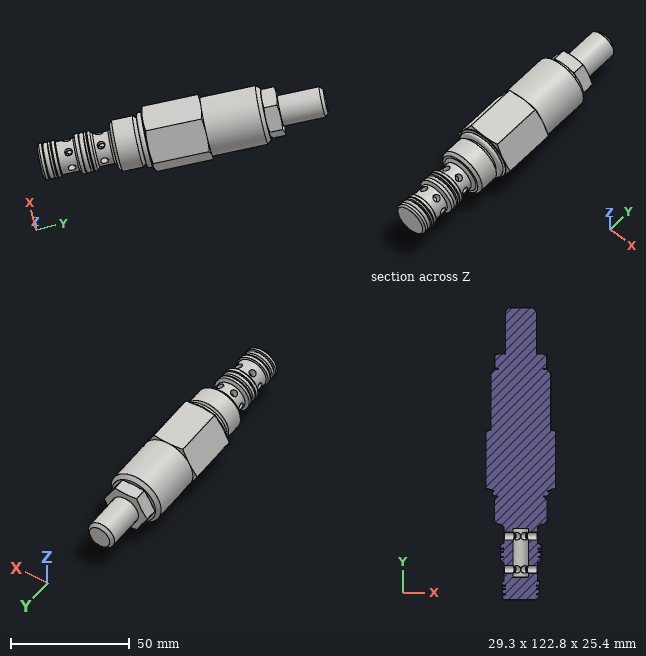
import cadquery as cq
import math

length = 122.8

nose_dia = 15.8
nose_chamfer = 0.9
nose_top = 8.0
nose_top_bevel = 0.4
nose_groove_start = 2.1
nose_oring_gap = 0.4
nose_groove_dia = 13.3
land_dia = 17.4
land_start = 15.5
land_end = 24.0
land_bevel = 0.9
land_groove_start = 17.9
land_groove_dia = 14.9
land_oring_gap = 0.1

oring_width = 2.0
backup_offset = 2.2
backup_width = 1.0
backup_clearance = 0.5

neck_dia = 14.2
port_dia = 3.2
port_count = 6
port_rows = (12.8, 26.8)
bore_dia = 6.4

collar_dia = 22.2
collar_step_dia = 19.6
collar_cone_start = 30.6
collar_step = 31.7
collar_start = 33.0
collar_end = 42.0
face_seal_start = 43.6
face_seal_dia = 24.0
collar_root_dia = collar_dia - 2 * (face_seal_start - collar_end)

hex_flats = 25.4
hex_start = 45.9
hex_end = 71.5
washer_height = 0.4
housing_end = 97.0
housing_chamfer = 1.7
nut_flats = 19.0
nut_end = 103.4
hex_corner_angle = 15.0
screw_dia = 13.3
screw_chamfer = 1.5


def add_ring(outline, start, end, outer_dia, floor_dia):
    """Continue the outline over a ring with straight sides and a half-round crown."""
    crown_radius = (end - start) / 2
    shoulder = outer_dia / 2 - crown_radius
    outline = outline.lineTo(floor_dia / 2, start)
    outline = outline.lineTo(shoulder, start)
    outline = outline.threePointArc((outer_dia / 2, start + crown_radius), (shoulder, end))
    return outline


def add_seal_pack(outline, start, oring_gap, outer_dia, floor_dia):
    """Continue the outline through a groove holding an O-ring and a backup ring."""
    outer = outer_dia / 2
    floor = floor_dia / 2
    oring_start = start + oring_gap
    oring_end = oring_start + oring_width
    backup_start = oring_start + backup_offset
    backup_end = backup_start + backup_width
    groove_end = backup_end + backup_clearance
    outline = outline.lineTo(outer, start).lineTo(floor, start)
    outline = add_ring(outline, oring_start, oring_end, outer_dia, floor_dia)
    outline = outline.lineTo(floor, oring_end)
    outline = outline.lineTo(floor, backup_start)
    outline = outline.lineTo(outer, backup_start)
    outline = outline.lineTo(outer, backup_end)
    outline = outline.lineTo(floor, backup_end)
    outline = outline.lineTo(floor, groove_end)
    outline = outline.lineTo(outer, groove_end)
    return outline


def revolve_outline(outline):
    """Close an outline (radius, y) on the Y axis and revolve it."""
    return outline.close().revolve(360, (0, 0, 0), (0, 1, 0))


def cartridge():
    """Everything below the hexagon: nose, neck, middle land, collar and face seal."""
    neck = neck_dia / 2
    land = land_dia / 2
    outline = cq.Workplane("XY").moveTo(0, 0).lineTo(nose_dia / 2 - nose_chamfer, 0)
    outline = outline.lineTo(nose_dia / 2, nose_chamfer)
    outline = add_seal_pack(outline, nose_groove_start, nose_oring_gap, nose_dia, nose_groove_dia)
    outline = outline.lineTo(nose_dia / 2, nose_top - nose_top_bevel).lineTo(neck, nose_top)
    outline = outline.lineTo(neck, land_start).lineTo(land, land_start + land_bevel)
    outline = add_seal_pack(outline, land_groove_start, land_oring_gap, land_dia, land_groove_dia)
    outline = outline.lineTo(land, land_end - land_bevel).lineTo(neck, land_end)
    outline = outline.lineTo(neck, collar_cone_start).lineTo(land, collar_step)
    outline = outline.lineTo(collar_step_dia / 2, collar_step)
    outline = outline.lineTo(collar_dia / 2, collar_start).lineTo(collar_dia / 2, collar_end)
    outline = add_ring(outline, face_seal_start, hex_start, face_seal_dia, collar_root_dia)
    outline = outline.lineTo(0, hex_start)
    return revolve_outline(outline)


def hexagon(flats, start, end, start_washer):
    """Hexagon with corners on X, corners bevelled at both ends and a washer face at the start."""
    corner = flats / math.sqrt(3)
    bevel = (corner - flats / 2) * math.tan(math.radians(hex_corner_angle))
    bevel_start = start + start_washer
    prism = (
        cq.Workplane("XZ", origin=(0, start, 0))
        .polygon(6, 2 * corner)
        .extrude(start - end)
    )
    envelope = cq.Workplane("XY").moveTo(0, start).lineTo(flats / 2, start)
    if start_washer > 0:
        envelope = envelope.lineTo(flats / 2, bevel_start)
    envelope = envelope.lineTo(corner, bevel_start + bevel).lineTo(corner, end - bevel)
    envelope = envelope.lineTo(flats / 2, end).lineTo(0, end)
    return prism.intersect(revolve_outline(envelope))


def cylinder(dia, start, end):
    """Round bar along +Y."""
    return cq.Workplane("XZ", origin=(0, start, 0)).circle(dia / 2).extrude(start - end)


def ports():
    """Radial port holes of both rows, joined by the central bore."""
    bore_start = port_rows[0] - port_dia
    bore_end = port_rows[-1] + port_dia
    cutter = cylinder(bore_dia, bore_start, bore_end)
    for row in port_rows:
        for index in range(port_count):
            angle = index * 360 / port_count
            port = (
                cq.Workplane("YZ", origin=(0, row, 0))
                .circle(port_dia / 2)
                .extrude(neck_dia)
                .rotate((0, 0, 0), (0, 1, 0), angle)
            )
            cutter = cutter.union(port)
    return cutter


housing = cylinder(hex_flats, hex_end, housing_end).faces(">Y").chamfer(housing_chamfer)
screw = cylinder(screw_dia, nut_end, length).faces(">Y").chamfer(screw_chamfer)

result = (
    cartridge()
    .union(hexagon(hex_flats, hex_start, hex_end, washer_height))
    .union(housing)
    .union(hexagon(nut_flats, housing_end, nut_end, 0))
    .union(screw)
    .cut(ports())
)